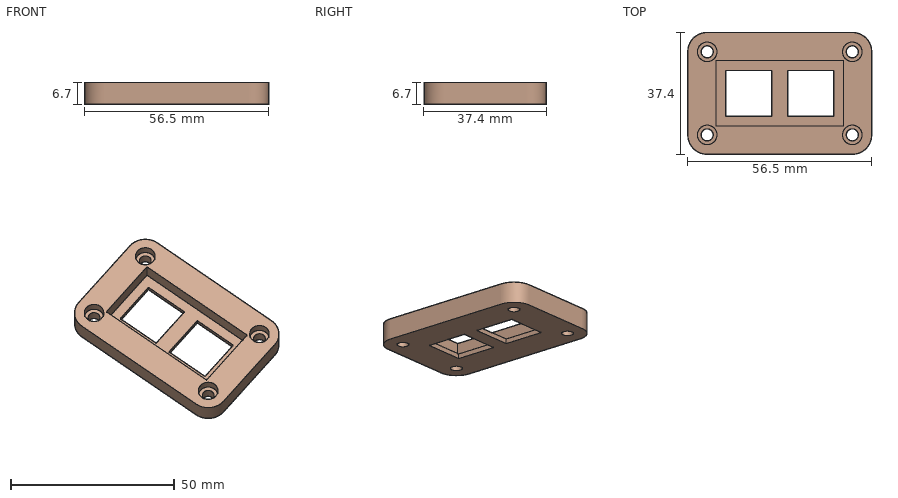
import cadquery as cq

length = 56.45
width = 37.4
thickness = 6.7
corner_radius = 6.0

pocket_length = 39.0
pocket_width = 20.15
floor_thickness = 1.5
window_size = 14.0
window_pitch = 19.0

hole_diameter = 3.6
counterbore_diameter = 6.0
counterbore_depth = 3.0
hole_spacing_x = length - 2 * corner_radius
hole_spacing_y = width - 2 * corner_radius


def make_plate():
    """Rounded rectangular plate with its underside at Z = 0."""
    plate = cq.Workplane("XY").rect(length, width).extrude(thickness)
    return plate.edges("|Z").fillet(corner_radius)


def make_pocket():
    """Rectangular recess open at the top face."""
    floor = cq.Workplane("XY").workplane(offset=floor_thickness)
    return floor.rect(pocket_length, pocket_width).extrude(thickness - floor_thickness)


def make_windows():
    """Two square openings side by side along X."""
    centers = cq.Workplane("XY").pushPoints([(-window_pitch / 2, 0), (window_pitch / 2, 0)])
    return centers.rect(window_size, window_size).extrude(thickness)


def cut_screw_holes(body):
    """Cut one counterbored hole at each corner, entering from the top face."""
    centers = (
        body.faces(">Z")
        .workplane(origin=(0, 0, thickness))
        .rect(hole_spacing_x, hole_spacing_y, forConstruction=True)
        .vertices()
    )
    return centers.cboreHole(hole_diameter, counterbore_diameter, counterbore_depth)


frame = make_plate().cut(make_pocket()).cut(make_windows())
result = cut_screw_holes(frame)